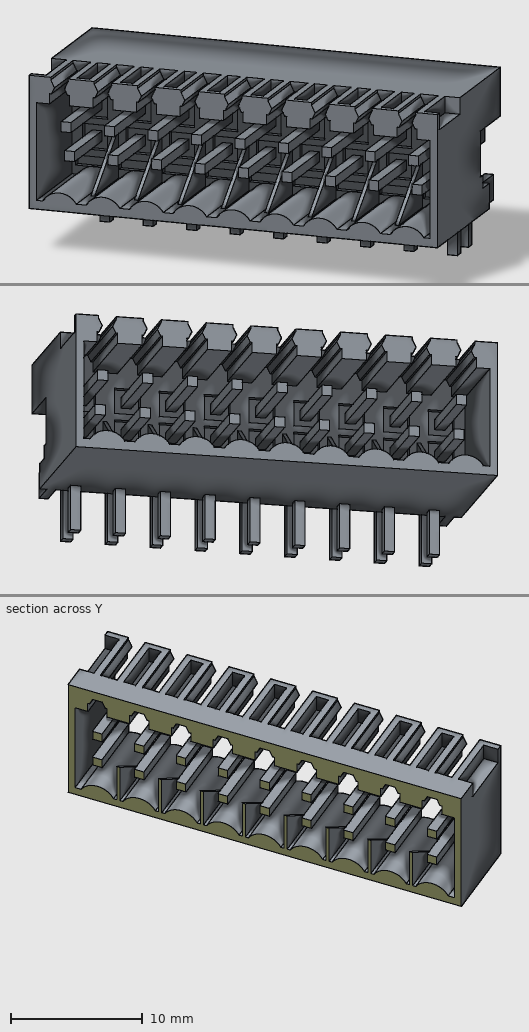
import cadquery as cq


pole_count = 9
pitch = 3.5
length = 32.9
depth = 14.2
height = 10.5
half_length = length / 2
pole_xs = [(i - (pole_count - 1) / 2) * pitch for i in range(pole_count)]
gap_xs = [x + pitch / 2 for x in pole_xs[:-1]]

side_wall = 0.6
floor_z = 0.7
ceiling_z = 8.4
cavity_depth = 8.0

hump_half_width = 1.36
hump_rise = 0.75

slot_depth = 5.05
slot_half_width = 0.8
shoulder_z = 9.2
shoulder_half_width = 0.65
neck_z = 9.7
neck_half_width = 0.4
mouth_half_width = 0.7
mouth_lip_height = 0.2

pocket_width = 1.0
pocket_front = 0.5
pocket_depth = 1.3

rib_thickness = 0.3
rib_foot_y = 2.6
rib_top_z = 4.55

pin_size = 0.8
row_spacing = 2.5
lower_pin_z = 3.75
lower_pin_tip_y = 2.3
lower_pin_tail_y = 10.6
upper_pin_z = lower_pin_z + row_spacing
upper_pin_tip_y = 1.5
upper_pin_tail_y = lower_pin_tail_y + row_spacing
tail_length = 3.5

socket_size = 2.0
socket_depth = 0.5
groove_half_width = 1.55
groove_bottom_z = 1.4
groove_height = 0.8

rear_wall_y = 11.7
rear_step_y = 12.15
rear_step_z = 4.15
rear_roof_z = 4.55

end_recess_depth = 1.25
end_recess_front = 9.75
end_recess_step_y = 10.25
end_recess_bottom_z = 2.0
end_recess_step_z = 3.0
end_recess_top_z = 6.65

foot_inset = 0.55


def box(x_range, y_range, z_range):
    """Box spanning the given (low, high) ranges."""
    lows, highs = zip(x_range, y_range, z_range)
    sizes = [high - low for low, high in zip(lows, highs)]
    return cq.Workplane("XY").box(*sizes, centered=False).translate(lows)


def around(centre, size):
    """Range of the given size centred on a position."""
    return (centre - size / 2, centre + size / 2)


def run_back(outline, run):
    """Extrude an XZ outline from the mating face towards the rear."""
    return outline.close().extrude(-run)


def run_along(points, x_range):
    """Extrude a YZ polygon over the given X range."""
    low, high = x_range
    return cq.Workplane("YZ", origin=(low, 0, 0)).polyline(points).close().extrude(high - low)


def both_ends(solid):
    """The solid together with its mirror image at the other end."""
    return solid.union(solid.mirror("YZ"))


def floor_hump(x):
    outline = (
        cq.Workplane("XZ")
        .moveTo(x - hump_half_width, floor_z)
        .threePointArc((x, floor_z + hump_rise), (x + hump_half_width, floor_z))
    )
    return run_back(outline, cavity_depth)


def lower_slot(x):
    """Part of a keying slot below its neck, as deep as the cavity."""
    points = [
        (x - slot_half_width, ceiling_z),
        (x - slot_half_width, shoulder_z),
        (x - shoulder_half_width, shoulder_z),
        (x - neck_half_width, neck_z),
        (x + neck_half_width, neck_z),
        (x + shoulder_half_width, shoulder_z),
        (x + slot_half_width, shoulder_z),
        (x + slot_half_width, ceiling_z),
    ]
    return run_back(cq.Workplane("XZ").polyline(points), cavity_depth)


def upper_slot(x):
    """Part of a keying slot above its neck, flaring to a straight-sided mouth."""
    points = [
        (x - neck_half_width, neck_z),
        (x - mouth_half_width, height - mouth_lip_height),
        (x - mouth_half_width, height),
        (x + mouth_half_width, height),
        (x + mouth_half_width, height - mouth_lip_height),
        (x + neck_half_width, neck_z),
    ]
    return run_back(cq.Workplane("XZ").polyline(points), slot_depth)


def rail_pocket(x):
    return box(around(x, pocket_width), (pocket_front, slot_depth), (height - pocket_depth, height))


def end_pocket():
    """Pocket over the left end rail, open through the end face."""
    inner_x = pole_xs[0] - pitch / 2 + pocket_width / 2
    return box((-half_length, inner_x), (pocket_front, slot_depth), (height - pocket_depth, height))


def rib(x):
    """Triangular gusset rising from the cavity floor to its rear wall."""
    points = [(rib_foot_y, floor_z), (cavity_depth, rib_top_z), (cavity_depth, floor_z)]
    return run_along(points, around(x, rib_thickness))


def socket(x, z):
    wall_range = (cavity_depth, cavity_depth + socket_depth)
    return box(around(x, socket_size), wall_range, around(z, socket_size))


def wall_groove(x):
    wall_range = (cavity_depth, cavity_depth + socket_depth)
    z_range = (groove_bottom_z, groove_bottom_z + groove_height)
    return box(around(x, 2 * groove_half_width), wall_range, z_range)


def pin(x, z, tip_y, tail_y):
    """Bent square pin: a contact running back and a tail running down."""
    contact = box(around(x, pin_size), (tip_y, tail_y + pin_size / 2), around(z, pin_size))
    tail = box(around(x, pin_size), around(tail_y, pin_size), (-tail_length, z))
    return contact.union(tail)


def rear_opening():
    points = [
        (rear_wall_y, 0),
        (rear_wall_y, rear_step_z),
        (rear_step_y, rear_step_z),
        (rear_step_y, rear_roof_z),
        (depth, rear_roof_z),
        (depth, 0),
    ]
    return run_along(points, (-half_length, half_length))


def end_recess():
    points = [
        (depth, end_recess_top_z),
        (end_recess_front, end_recess_top_z),
        (end_recess_front, end_recess_step_z),
        (end_recess_step_y, end_recess_step_z),
        (end_recess_step_y, end_recess_bottom_z),
        (depth, end_recess_bottom_z),
    ]
    return run_along(points, (-half_length, -half_length + end_recess_depth))


def foot():
    x_range = (-half_length + foot_inset, -half_length + end_recess_depth)
    return box(x_range, (rear_wall_y, depth), (0, end_recess_bottom_z))


def housing():
    body = box((-half_length, half_length), (0, depth), (0, height))
    inner_half_length = half_length - side_wall
    body = body.cut(box((-inner_half_length, inner_half_length), (0, cavity_depth), (floor_z, ceiling_z)))
    for x in pole_xs:
        body = body.cut(lower_slot(x)).cut(upper_slot(x))
        body = body.cut(socket(x, lower_pin_z)).cut(socket(x, upper_pin_z)).cut(wall_groove(x))
        body = body.union(floor_hump(x))
    for x in gap_xs:
        body = body.cut(rail_pocket(x)).union(rib(x))
    body = body.cut(both_ends(end_pocket()))
    body = body.cut(rear_opening()).cut(both_ends(end_recess()))
    return body.union(both_ends(foot()))


result = housing()
for pole_x in pole_xs:
    result = result.union(pin(pole_x, lower_pin_z, lower_pin_tip_y, lower_pin_tail_y))
    result = result.union(pin(pole_x, upper_pin_z, upper_pin_tip_y, upper_pin_tail_y))